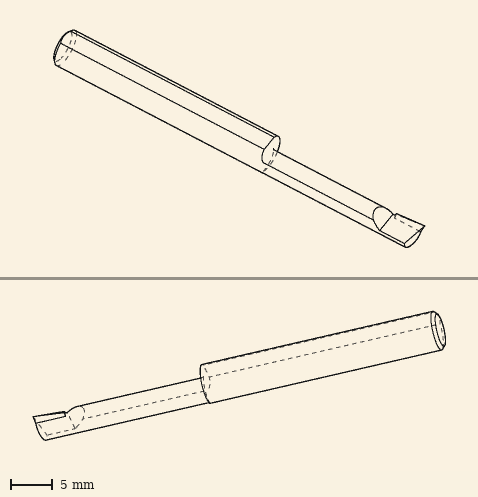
import cadquery as cq

total_length = 50.8

shank_diameter = 4.7625
shank_radius = shank_diameter / 2
shank_length = 29.4
flat_height = 4.5
flat_z = flat_height - shank_radius
end_chamfer = 0.4

neck_radius = 1.55
neck_axis_y = -1.0
neck_fillet = 0.6

rake_z = 0.0
rake_start_x = 46.68
head_start_x = 46.95
head_heel_y = 0.85
tip_y = 1.16
end_setback = 0.6


def make_shank_envelope(length):
    """Shank section, round with a flat on top, chamfered all round at the -X end."""
    bar = cq.Workplane("YZ").circle(shank_radius).extrude(length)
    bar = bar.faces("<X").chamfer(end_chamfer)
    below_flat = (
        cq.Workplane("XY")
        .box(length, shank_diameter, flat_height, centered=(False, True, False))
        .translate((0, 0, flat_z - flat_height))
    )
    return bar.intersect(below_flat)


def make_neck():
    """Neck revolved about its own axis, flaring through a fillet into the shank face."""
    flare_radius = neck_radius + neck_fillet
    fillet_end_x = shank_length + neck_fillet
    return (
        cq.Workplane("XZ", origin=(0, neck_axis_y, 0))
        .moveTo(shank_length, 0)
        .lineTo(shank_length, flare_radius)
        .radiusArc((fillet_end_x, neck_radius), -neck_fillet)
        .lineTo(total_length, neck_radius)
        .lineTo(total_length, 0)
        .close()
        .revolve(360, (0, 0, 0), (1, 0, 0))
    )


def make_head():
    """Head widening toward the tip, its +Y flank relieved down to the neck bottom."""
    plan = (
        cq.Workplane("XY", origin=(0, 0, -neck_radius))
        .moveTo(head_start_x, neck_axis_y)
        .lineTo(head_start_x, head_heel_y)
        .lineTo(total_length, tip_y)
        .lineTo(total_length, neck_axis_y)
        .close()
        .extrude(rake_z + neck_radius)
    )
    relief = (
        cq.Workplane("YZ", origin=(head_start_x, 0, 0))
        .moveTo(neck_axis_y, rake_z)
        .lineTo(tip_y, rake_z)
        .lineTo(neck_axis_y, -neck_radius)
        .close()
        .extrude(total_length - head_start_x)
    )
    return plan.intersect(relief)


def make_rake_cut():
    """Material above the rake face and its 45 degree run-out."""
    rise = shank_diameter
    return (
        cq.Workplane("XZ")
        .moveTo(rake_start_x, rake_z)
        .lineTo(total_length, rake_z)
        .lineTo(total_length, rake_z + rise)
        .lineTo(rake_start_x - rise, rake_z + rise)
        .close()
        .extrude(shank_diameter, both=True)
    )


def make_end_cut():
    """Wedge that slants the end face back from the tip toward -Y."""
    return (
        cq.Workplane("XY")
        .moveTo(total_length, tip_y)
        .lineTo(total_length - end_setback, -shank_radius)
        .lineTo(total_length, -shank_radius)
        .close()
        .extrude(shank_diameter, both=True)
    )


shank = make_shank_envelope(shank_length)
neck = make_neck().intersect(make_shank_envelope(total_length))
result = shank.union(neck).union(make_head()).cut(make_rake_cut()).cut(make_end_cut())